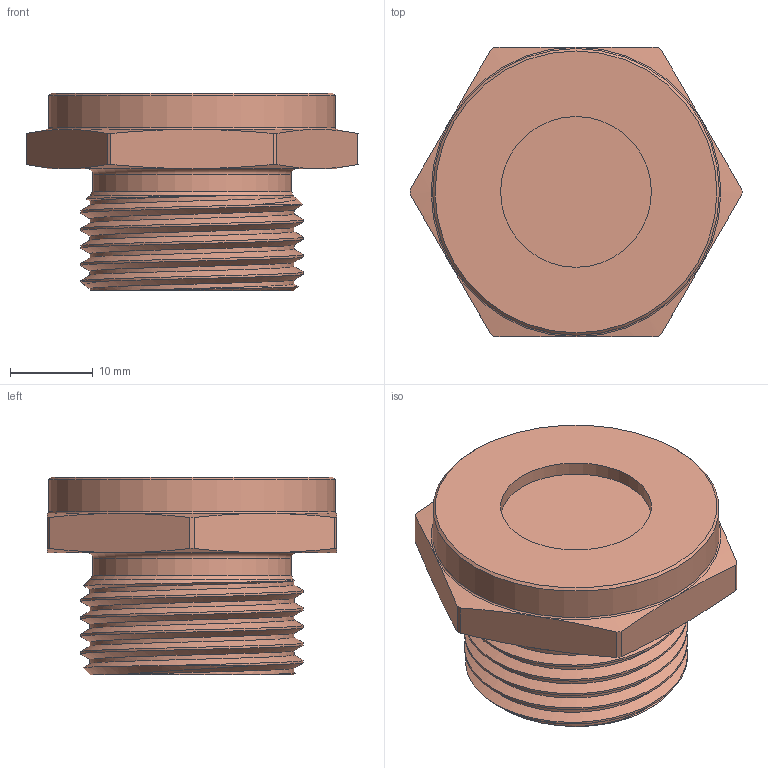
import cadquery as cq
import math

INCH = 25.4
ARC_MIDPOINT_INSET = 1 - math.sqrt(0.5)

total_height = 23.88
hex_bottom = 14.77
hex_top = 19.52
neck_bottom = 12.0
thread_top = 11.52

across_flats = 35.05
corner_diameter = 40.17
corner_cone_angle = 11.0

collar_diameter = 34.7
collar_chamfer = 0.3

neck_diameter = 24.0
neck_fillet = 0.7

thread_diameter = 1.0625 * INCH
pitch = INCH / 12
flank_half_angle = 30.0
sharp_height = pitch / 2 / math.tan(math.radians(flank_half_angle))
thread_depth = 5 / 8 * sharp_height
root_flat = pitch / 4
cutter_overrun = 0.1

window_diameter = 18.25
window_recess = 1.65

flat_radius = across_flats / 2
collar_radius = collar_diameter / 2
collar_fillet = flat_radius - collar_radius
corner_radius = corner_diameter / 2
neck_radius = neck_diameter / 2
thread_radius = thread_diameter / 2
root_radius = thread_radius - thread_depth


def make_head():
    """Hexagon with both end faces coned off at the corners, and the collar on top."""
    cone_rise = (corner_radius - flat_radius) * math.tan(math.radians(corner_cone_angle))
    fillet_diagonal = collar_fillet * ARC_MIDPOINT_INSET
    turned_blank = (
        cq.Workplane("XZ")
        .moveTo(0, hex_bottom)
        .lineTo(flat_radius, hex_bottom)
        .lineTo(corner_radius, hex_bottom + cone_rise)
        .lineTo(corner_radius, hex_top - cone_rise)
        .lineTo(flat_radius, hex_top)
        .threePointArc(
            (collar_radius + fillet_diagonal, hex_top + fillet_diagonal),
            (collar_radius, hex_top + collar_fillet),
        )
        .lineTo(collar_radius, total_height - collar_chamfer)
        .lineTo(collar_radius - collar_chamfer, total_height)
        .lineTo(0, total_height)
        .close()
        .revolve(360, (0, 0, 0), (0, 1, 0))
    )
    hexagon_bar = (
        cq.Workplane("XY", origin=(0, 0, hex_bottom))
        .polygon(6, across_flats / math.cos(math.pi / 6))
        .extrude(total_height - hex_bottom)
    )
    return hexagon_bar.intersect(turned_blank)


def make_shank():
    """Neck and thread blank: 45 degree chamfers at both thread ends, fillet under the hexagon.

    Drawn in the YZ plane so that its seam edge stays clear of the thread groove's ends.
    """
    embed = 1.0
    fillet_diagonal = neck_fillet * ARC_MIDPOINT_INSET
    return (
        cq.Workplane("YZ")
        .lineTo(root_radius, 0)
        .lineTo(thread_radius, thread_depth)
        .lineTo(thread_radius, thread_top - thread_depth)
        .lineTo(root_radius, thread_top)
        .lineTo(neck_radius, neck_bottom)
        .lineTo(neck_radius, hex_bottom - neck_fillet)
        .threePointArc(
            (neck_radius + fillet_diagonal, hex_bottom - fillet_diagonal),
            (neck_radius + neck_fillet, hex_bottom),
        )
        .lineTo(neck_radius + neck_fillet, hex_bottom + embed)
        .lineTo(0, hex_bottom + embed)
        .close()
        .revolve(360, (0, 0, 0), (0, 1, 0))
    )


def make_thread_groove():
    """Helical cutter with a flat root; crests lie at whole pitches above the +X axis.

    The cutter runs past both ends of the thread.
    """
    start_height = -1.5 * pitch
    turns = 7.5
    outer_radius = thread_radius + cutter_overrun
    root_half_width = root_flat / 2
    flank_spread = (outer_radius - root_radius) * math.tan(math.radians(flank_half_angle))
    outer_half_width = root_half_width + flank_spread
    path = cq.Wire.makeHelix(pitch, turns * pitch, root_radius).moved(
        cq.Location(cq.Vector(0, 0, start_height))
    )
    return (
        cq.Workplane("XZ", origin=(0, 0, start_height))
        .moveTo(root_radius, -root_half_width)
        .lineTo(outer_radius, -outer_half_width)
        .lineTo(outer_radius, outer_half_width)
        .lineTo(root_radius, root_half_width)
        .close()
        .sweep(cq.Workplane(obj=path), isFrenet=True)
    )


def make_window(height):
    """Round rod of the window diameter, standing on the bottom face."""
    return cq.Workplane("XY").circle(window_diameter / 2).extrude(height)


housing = (
    make_shank()
    .cut(make_thread_groove())
    .union(make_head())
    .cut(make_window(total_height))
)
window = make_window(total_height - window_recess)

result = cq.Compound.makeCompound([housing.val(), window.val()])